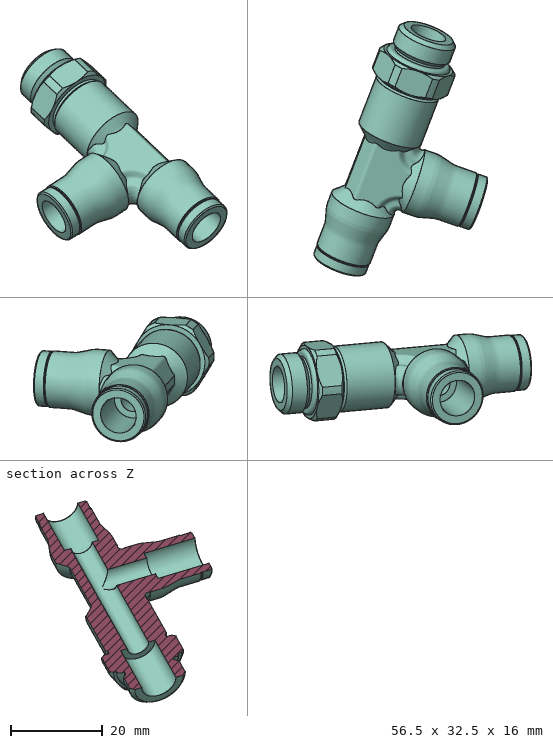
import cadquery as cq
import math


STUD_REACH = 33.0
ARM_REACH = 23.5
BRANCH_REACH = 23.73
BODY_RADIUS = 7.25

ARM_ANGLE = 0
BRANCH_ANGLE = -90
STUD_ANGLE = 180

SHOULDER_POS = 8.6
CONE_BREAK_RADIUS = 5.36
CONE_BREAK_POS = SHOULDER_POS - (BODY_RADIUS - CONE_BREAK_RADIUS)
CONE_TIP_RADIUS = 4.5
CONE_TIP_POS = 5.57

TUBE_RADIUS = 6.2
NECK_START = 11.95
NECK_END_FROM_END = 7.8
NECK_ROUND = 0.55
RING_GAP_FROM_END = 2.75
RING_LENGTH = 2.3
RING_GAP_RADIUS = 5.95
RING_GAP_BEVEL = 0.15
RING_RADIUS = 6.07
RING_CHAMFER = 0.3

THREAD_RADIUS = 6.6
THREAD_CHAMFER = 0.9
THREAD_END = 4.35
RELIEF_RADIUS = 5.75
FLANGE_START = 5.7
FLANGE_RADIUS = 7.3
HEX_START = 6.5
HEX_END = 12.2
HEX_SIDES = 6
HEX_FLATS = 16.0
HEX_CORNER_RADIUS = 8.75
HEX_BEVEL = 0.6
FLANGE_ROUND = HEX_START - FLANGE_START
COLLAR_RADIUS = 6.8
COLLAR_END = 12.85
COLLAR_BEVEL = BODY_RADIUS - COLLAR_RADIUS

WEB_HALF_HEIGHT = 5.0
WEB_REACH = 8.5
WEB_BACK = 4.95
WEB_EDGE_Y = 2.63
WEB_ROUND = 1.0
SLOPE_ANGLE = math.radians(60)
CORNER_CENTRE = 8.0
CORNER_WALL_RADIUS = 0.85
CORNER_EDGE_ROUND = 1.0
CORNER_EDGE_ANGLE = math.radians(45)
LEDGE_HALF_HEIGHT = 3.25
LEDGE_RADIUS = 3.55

FLOW_RADIUS = 2.5
SOCKET_RADIUS = 4.0
SOCKET_DEPTH = 12.0


def turn(shape, degrees):
    """Turn a shape about the Z axis through the tee centre."""
    return shape.rotate((0, 0, 0), (0, 0, 1), degrees)


def shoulder_points():
    """Axis-to-shoulder outline as (distance from centre, radius)."""
    return [
        (CONE_TIP_POS, 0),
        (CONE_TIP_POS, CONE_TIP_RADIUS),
        (CONE_BREAK_POS, CONE_BREAK_RADIUS),
        (SHOULDER_POS, BODY_RADIUS),
    ]


def make_tube_arm(reach):
    """Push-in arm along +X."""
    neck_end = reach - NECK_END_FROM_END
    taper = math.atan2(BODY_RADIUS - TUBE_RADIUS, neck_end - NECK_START)
    run = NECK_ROUND * math.cos(taper)
    drop = NECK_ROUND * math.sin(taper)
    gap_start = reach - RING_GAP_FROM_END
    ring_start = reach - RING_LENGTH
    profile = (
        cq.Workplane("XY")
        .polyline(shoulder_points())
        .lineTo(NECK_START - NECK_ROUND, BODY_RADIUS)
        .tangentArcPoint((NECK_START + run, BODY_RADIUS - drop), relative=False)
        .lineTo(neck_end - run, TUBE_RADIUS + drop)
        .tangentArcPoint((neck_end + NECK_ROUND, TUBE_RADIUS), relative=False)
        .lineTo(gap_start, TUBE_RADIUS)
        .lineTo(gap_start + RING_GAP_BEVEL, RING_GAP_RADIUS)
        .lineTo(ring_start - RING_GAP_BEVEL, RING_GAP_RADIUS)
        .lineTo(ring_start, RING_RADIUS)
        .lineTo(reach - RING_CHAMFER, RING_RADIUS)
        .lineTo(reach, RING_RADIUS - RING_CHAMFER)
        .lineTo(reach, 0)
        .close()
    )
    return profile.revolve(360, (0, 0, 0), (1, 0, 0))


def make_stud():
    """Threaded stud and body, built along +X and turned to point along -X."""
    end = STUD_REACH
    relief_start = end - THREAD_END - (THREAD_RADIUS - RELIEF_RADIUS)
    flange_face = end - FLANGE_START
    collar_face = end - COLLAR_END
    profile = (
        cq.Workplane("XY")
        .polyline(shoulder_points())
        .lineTo(collar_face - COLLAR_BEVEL, BODY_RADIUS)
        .lineTo(collar_face, COLLAR_RADIUS)
        .lineTo(end - HEX_END, COLLAR_RADIUS)
        .lineTo(end - HEX_END, FLANGE_RADIUS)
        .lineTo(end - HEX_START, FLANGE_RADIUS)
        .tangentArcPoint((flange_face, FLANGE_RADIUS - FLANGE_ROUND), relative=False)
        .lineTo(flange_face, RELIEF_RADIUS)
        .lineTo(relief_start, RELIEF_RADIUS)
        .lineTo(end - THREAD_END, THREAD_RADIUS)
        .lineTo(end - THREAD_CHAMFER, THREAD_RADIUS)
        .lineTo(end, THREAD_RADIUS - THREAD_CHAMFER)
        .lineTo(end, 0)
        .close()
    )
    stud = profile.revolve(360, (0, 0, 0), (1, 0, 0))
    return turn(stud.union(make_hex()), STUD_ANGLE)


def make_hex():
    """Hexagon with flats on +Z and -Z, turned down at its corners and bevelled."""
    length = HEX_END - HEX_START
    corner_diameter = HEX_FLATS / math.cos(math.pi / HEX_SIDES)
    hexagon = (
        cq.Workplane("YZ", origin=(STUD_REACH - HEX_END, 0, 0))
        .polygon(HEX_SIDES, corner_diameter)
        .extrude(length)
    )
    blank = (
        cq.Workplane("YZ", origin=(STUD_REACH - HEX_END, 0, 0))
        .circle(HEX_CORNER_RADIUS)
        .extrude(length)
        .faces("<X or >X")
        .chamfer(HEX_BEVEL, HEX_CORNER_RADIUS - HEX_FLATS / 2)
    )
    return hexagon.intersect(blank)


def make_corner_cutter():
    """Turned cutter that hollows one inner corner, alike above and below the mid plane."""
    edge_run = CORNER_EDGE_ROUND * math.sin(CORNER_EDGE_ANGLE)
    edge_height = LEDGE_HALF_HEIGHT - CORNER_EDGE_ROUND * (1 - math.cos(CORNER_EDGE_ANGLE))
    bulge_radius = edge_height / math.cos(CORNER_EDGE_ANGLE)
    bulge_end = CORNER_WALL_RADIUS + bulge_radius * (1 - math.sin(CORNER_EDGE_ANGLE))
    ledge_start = bulge_end + edge_run

    run = WEB_ROUND * math.sin(SLOPE_ANGLE)
    rise = WEB_ROUND * (1 - math.cos(SLOPE_ANGLE))
    foot_radius = LEDGE_RADIUS + run
    foot_height = LEDGE_HALF_HEIGHT + rise
    head_height = WEB_HALF_HEIGHT - rise
    head_radius = foot_radius + (head_height - foot_height) / math.tan(SLOPE_ANGLE)
    top_radius = head_radius + run
    cap_height = WEB_HALF_HEIGHT + WEB_ROUND

    profile = (
        cq.Workplane("XZ")
        .moveTo(0, -cap_height)
        .lineTo(top_radius, -cap_height)
        .lineTo(top_radius, -WEB_HALF_HEIGHT)
        .radiusArc((head_radius, -head_height), WEB_ROUND)
        .lineTo(foot_radius, -foot_height)
        .radiusArc((LEDGE_RADIUS, -LEDGE_HALF_HEIGHT), -WEB_ROUND)
        .lineTo(ledge_start, -LEDGE_HALF_HEIGHT)
        .radiusArc((bulge_end, -edge_height), CORNER_EDGE_ROUND)
        .radiusArc((bulge_end, edge_height), bulge_radius)
        .radiusArc((ledge_start, LEDGE_HALF_HEIGHT), CORNER_EDGE_ROUND)
        .lineTo(LEDGE_RADIUS, LEDGE_HALF_HEIGHT)
        .radiusArc((foot_radius, foot_height), -WEB_ROUND)
        .lineTo(head_radius, head_height)
        .radiusArc((top_radius, WEB_HALF_HEIGHT), WEB_ROUND)
        .lineTo(top_radius, cap_height)
        .lineTo(0, cap_height)
        .close()
    )
    return profile.revolve(360, (0, 0, 0), (0, 1, 0))


def make_web():
    """Flat-topped web with a sloping, rounded back and two hollowed corners."""
    cap_height = WEB_HALF_HEIGHT + WEB_ROUND
    slope_foot = WEB_HALF_HEIGHT - (WEB_BACK - WEB_EDGE_Y) * math.tan(SLOPE_ANGLE)
    outline = [
        (-WEB_REACH, -WEB_HALF_HEIGHT),
        (WEB_EDGE_Y, -WEB_HALF_HEIGHT),
        (WEB_BACK, -slope_foot),
        (WEB_BACK, slope_foot),
        (WEB_EDGE_Y, WEB_HALF_HEIGHT),
        (-WEB_REACH, WEB_HALF_HEIGHT),
    ]
    zone_half_width = WEB_ROUND / 2
    back_edge_zone = (
        (-WEB_REACH, WEB_EDGE_Y - zone_half_width, -cap_height),
        (WEB_REACH, WEB_EDGE_Y + zone_half_width, cap_height),
    )
    web = (
        cq.Workplane("YZ", origin=(-WEB_REACH, 0, 0))
        .polyline(outline)
        .close()
        .extrude(2 * WEB_REACH)
        .edges("|X")
        .edges(cq.selectors.BoxSelector(*back_edge_zone))
        .fillet(WEB_ROUND)
    )
    cutter = make_corner_cutter()
    for side in (-1, 1):
        web = web.cut(cutter.translate((side * CORNER_CENTRE, -CORNER_CENTRE, 0)))
    return web


def make_bore(reach):
    """Flow passage from the tee centre along +X with a wider socket at its end."""
    passage = cq.Workplane("YZ").circle(FLOW_RADIUS).extrude(reach)
    socket = (
        cq.Workplane("YZ", origin=(reach - SOCKET_DEPTH, 0, 0))
        .circle(SOCKET_RADIUS)
        .extrude(SOCKET_DEPTH)
    )
    return passage.union(socket)


result = (
    make_web()
    .union(make_stud())
    .union(turn(make_tube_arm(ARM_REACH), ARM_ANGLE))
    .union(turn(make_tube_arm(BRANCH_REACH), BRANCH_ANGLE))
)
legs = ((ARM_REACH, ARM_ANGLE), (BRANCH_REACH, BRANCH_ANGLE), (STUD_REACH, STUD_ANGLE))
for leg_reach, leg_angle in legs:
    result = result.cut(turn(make_bore(leg_reach), leg_angle))